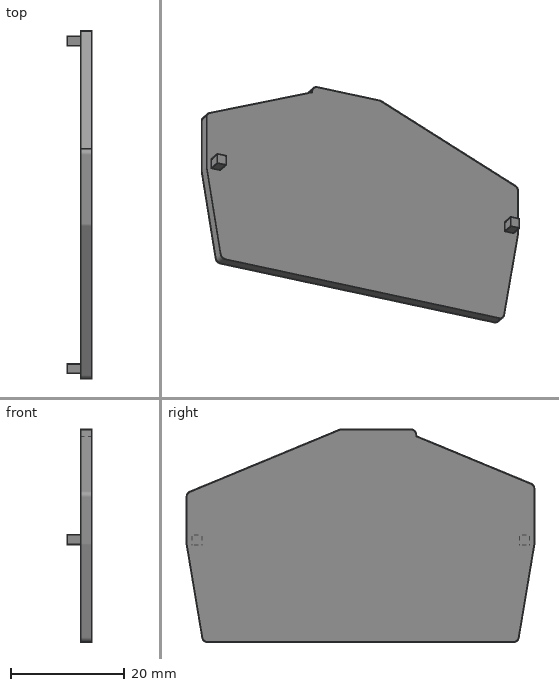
import cadquery as cq
import math

plate_thickness = 2.0
plate_width = 61.4
plate_height = 37.56
bottom_width = 55.6
corner_radius = 1.0

kink_height = 17.3
roof_angle = 22.5
ridge_right_y = -3.55
ridge_left_y = 9.85
step_height = 1.2

peg_length = 2.4
peg_width = 1.7
peg_height = 1.8
peg_spacing = 57.8
peg_center_z = 18.1

half_width = plate_width / 2
half_bottom = bottom_width / 2
roof_slope = math.tan(math.radians(roof_angle))
step_foot_z = plate_height - step_height
right_shoulder_z = plate_height - (half_width + ridge_right_y) * roof_slope
left_shoulder_z = step_foot_z - (half_width - ridge_left_y) * roof_slope


def make_plate():
    """Panel with its -X face at X = 0; every outward corner is rounded."""
    step_foot = (ridge_left_y, step_foot_z)
    outline = [
        (-half_bottom, 0),
        (half_bottom, 0),
        (half_width, kink_height),
        (half_width, left_shoulder_z),
        step_foot,
        (ridge_left_y, plate_height),
        (ridge_right_y, plate_height),
        (-half_width, right_shoulder_z),
        (-half_width, kink_height),
    ]
    panel = cq.Workplane("YZ").polyline(outline).close().extrude(plate_thickness)
    sharp_edge = cq.selectors.NearestToPointSelector((plate_thickness / 2, *step_foot))
    cross_edges = cq.selectors.ParallelDirSelector(cq.Vector(1, 0, 0))
    rounded_edges = cross_edges - sharp_edge
    return panel.edges(rounded_edges).fillet(corner_radius)


def make_pegs():
    """Two pegs, one near each side, pointing toward -X."""
    return (
        cq.Workplane("YZ")
        .pushPoints([(side * peg_spacing / 2, peg_center_z) for side in (-1, 1)])
        .rect(peg_width, peg_height)
        .extrude(-peg_length)
    )


result = make_plate().union(make_pegs())